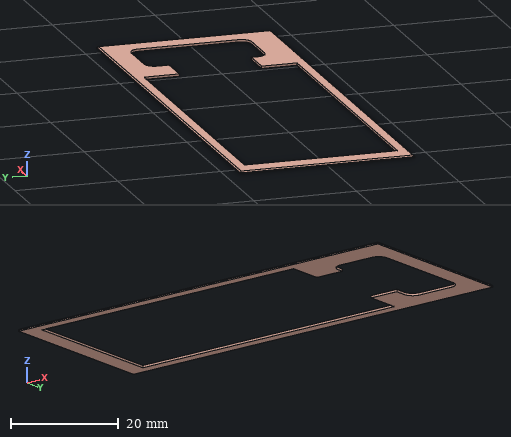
import cadquery as cq

length = 85.5
width = 34.0
thickness = 0.5
edge_bevel = 0.25

window_left = -38.8
window_right = 20.95
window_width = 29.75

neck_width = 16.0

end_left = 27.1
end_right = 38.65
end_width = 23.4
end_offset = 0.5
end_corner_radius = 2.0


def opening(x_start, x_end, opening_width):
    """Rectangular cutter through the plate, symmetric about the X axis."""
    return (
        cq.Workplane("XY")
        .center((x_start + x_end) / 2, 0)
        .rect(x_end - x_start, opening_width)
        .extrude(thickness)
    )


plate = (
    cq.Workplane("XY")
    .rect(length, width)
    .extrude(thickness)
    .faces(">Z")
    .edges()
    .chamfer(edge_bevel)
)

main_window = opening(window_left, window_right, window_width)
end_window = (
    opening(end_left, end_right, end_width)
    .edges("|Z")
    .fillet(end_corner_radius)
    .translate((0, end_offset, 0))
)

neck = opening(0, (end_left + end_right) / 2, neck_width)

result = plate.cut(main_window).cut(end_window).cut(neck)